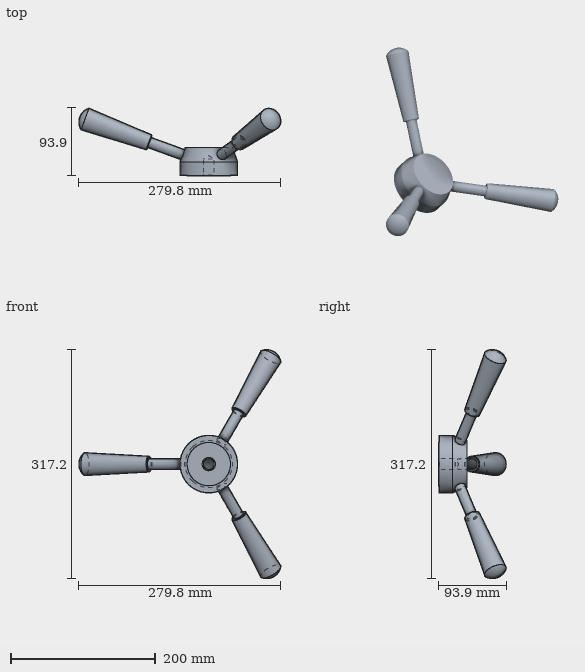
import cadquery as cq
import math

hub_diameter = 80.0
hub_depth = 39.5
boss_diameter = 60.0
boss_height = 1.0
shoulder_depth = 19.7

bore_diameter = 15.0
bore_mouth_diameter = 18.5
bore_depth = 23.8
drill_point_angle = 120

arm_count = 3
arm_tilt = 20
arm_root_depth = 16.5
rod_diameter = 15.0
grip_start = 87.5
grip_length = 94.8
grip_small_diameter = 22.2
grip_large_diameter = 32.0
grip_edge_chamfer = 1.0
dome_height = 8.0

hub_radius = hub_diameter / 2
back_radius = hub_radius - (hub_depth - shoulder_depth) * math.tan(math.radians(arm_tilt))


def make_hub():
    body = (
        cq.Workplane("XY")
        .moveTo(0, boss_height)
        .lineTo(hub_radius, boss_height)
        .lineTo(hub_radius, shoulder_depth)
        .lineTo(back_radius, hub_depth)
        .lineTo(0, hub_depth)
        .close()
        .revolve(360, (0, 0, 0), (0, 1, 0))
    )
    boss = cq.Workplane("XZ").circle(boss_diameter / 2).extrude(-hub_depth / 2)
    return body.union(boss)


def make_bore():
    bore_radius = bore_diameter / 2
    mouth_radius = bore_mouth_diameter / 2
    point_depth = bore_radius / math.tan(math.radians(drill_point_angle / 2))
    return (
        cq.Workplane("XY")
        .lineTo(mouth_radius, 0)
        .lineTo(bore_radius, mouth_radius - bore_radius)
        .lineTo(bore_radius, bore_depth)
        .lineTo(0, bore_depth + point_depth)
        .close()
        .revolve(360, (0, 0, 0), (0, 1, 0))
    )


def make_arm():
    """One arm pointing to -X, leaning toward +Y."""
    rod_radius = rod_diameter / 2
    small_radius = grip_small_diameter / 2
    large_radius = grip_large_diameter / 2
    grip_end = grip_start + grip_length
    dome_radius = (large_radius**2 + dome_height**2) / (2 * dome_height)
    dome_center = grip_end + dome_height - dome_radius
    half_angle = math.asin(large_radius / dome_radius) / 2
    dome_middle = (
        -dome_center - dome_radius * math.cos(half_angle),
        dome_radius * math.sin(half_angle),
    )
    rod_start = hub_radius / 2
    arm = (
        cq.Workplane("XY")
        .moveTo(-rod_start, 0)
        .lineTo(-rod_start, rod_radius)
        .lineTo(-grip_start, rod_radius)
        .lineTo(-grip_start, small_radius - grip_edge_chamfer)
        .lineTo(-grip_start - grip_edge_chamfer, small_radius)
        .lineTo(-grip_end, large_radius)
        .threePointArc(dome_middle, (-grip_end - dome_height, 0))
        .close()
        .revolve(360, (0, 0, 0), (1, 0, 0))
    )
    return arm.rotate((0, 0, 0), (0, 0, 1), -arm_tilt).translate((0, arm_root_depth, 0))


result = make_hub()
arm = make_arm()
for index in range(arm_count):
    result = result.union(arm.rotate((0, 0, 0), (0, 1, 0), index * 360 / arm_count))
result = result.cut(make_bore())